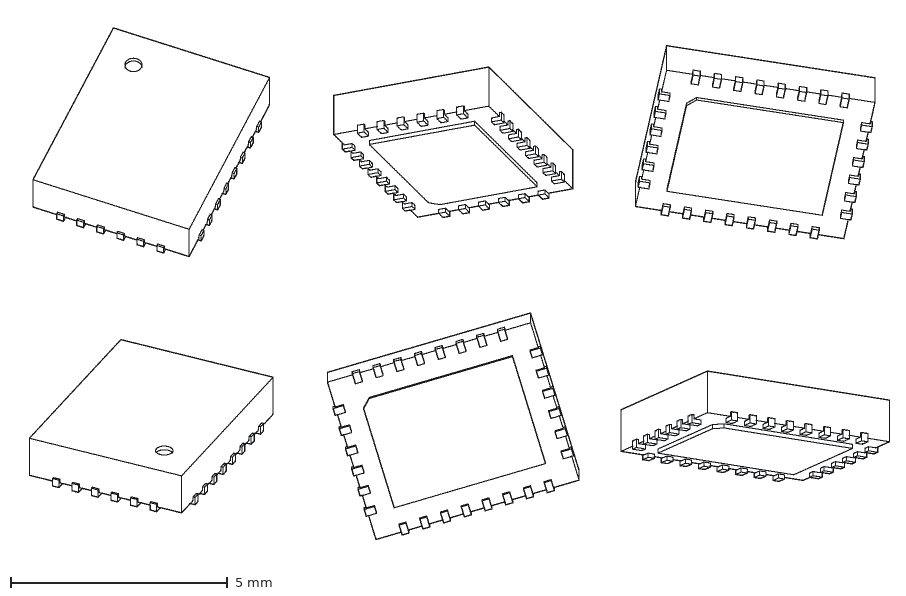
import cadquery as cq

overall_x = 4.0
overall_y = 5.0
overall_z = 1.1

body_x = 3.9
body_y = 4.9
standoff = 0.1

lead_pitch = 0.5
lead_width = 0.17
lead_height = 0.2
foot_length = 0.25
leads_along_x = 6
leads_along_y = 8

pad_x = 2.65
pad_y = 3.65
pad_chamfer = 0.2

mark_diameter = 0.4
mark_depth = 0.1
mark_inset = 0.85


def make_body():
    """Plain block with the pin 1 dimple near its -X, +Y corner."""
    body = (
        cq.Workplane("XY")
        .workplane(offset=standoff)
        .rect(body_x, body_y)
        .extrude(overall_z - standoff)
    )
    mark_x = mark_inset - body_x / 2
    mark_y = body_y / 2 - mark_inset
    dimple = (
        cq.Workplane("XY")
        .workplane(offset=overall_z - mark_depth)
        .center(mark_x, mark_y)
        .circle(mark_diameter / 2)
        .extrude(mark_depth)
    )
    return body.cut(dimple)


def make_pad():
    """Thermal pad with its pin 1 corner cut off."""
    pad = cq.Workplane("XY").rect(pad_x, pad_y).extrude(standoff)
    return pad.edges("|Z").edges("<X").edges(">Y").chamfer(pad_chamfer)


def make_lead(outer, body_face):
    """L-shaped lead on the +X side: a foot under the body and a tip up its side."""
    return (
        cq.Workplane("XZ")
        .moveTo(outer - foot_length, 0)
        .lineTo(outer, 0)
        .lineTo(outer, lead_height)
        .lineTo(body_face, lead_height)
        .lineTo(body_face, standoff)
        .lineTo(outer - foot_length, standoff)
        .close()
        .extrude(lead_width / 2, both=True)
    )


def add_lead_rows(part, lead, count, side_angles):
    """Join a centred row of leads to the part on each side given by its angle about Z."""
    for angle in side_angles:
        for index in range(count):
            offset = (index - (count - 1) / 2) * lead_pitch
            placed = lead.translate((0, offset, 0)).rotate((0, 0, 0), (0, 0, 1), angle)
            part = part.union(placed)
    return part


result = make_body().union(make_pad())
result = add_lead_rows(result, make_lead(overall_x / 2, body_x / 2), leads_along_y, (0, 180))
result = add_lead_rows(result, make_lead(overall_y / 2, body_y / 2), leads_along_x, (90, 270))